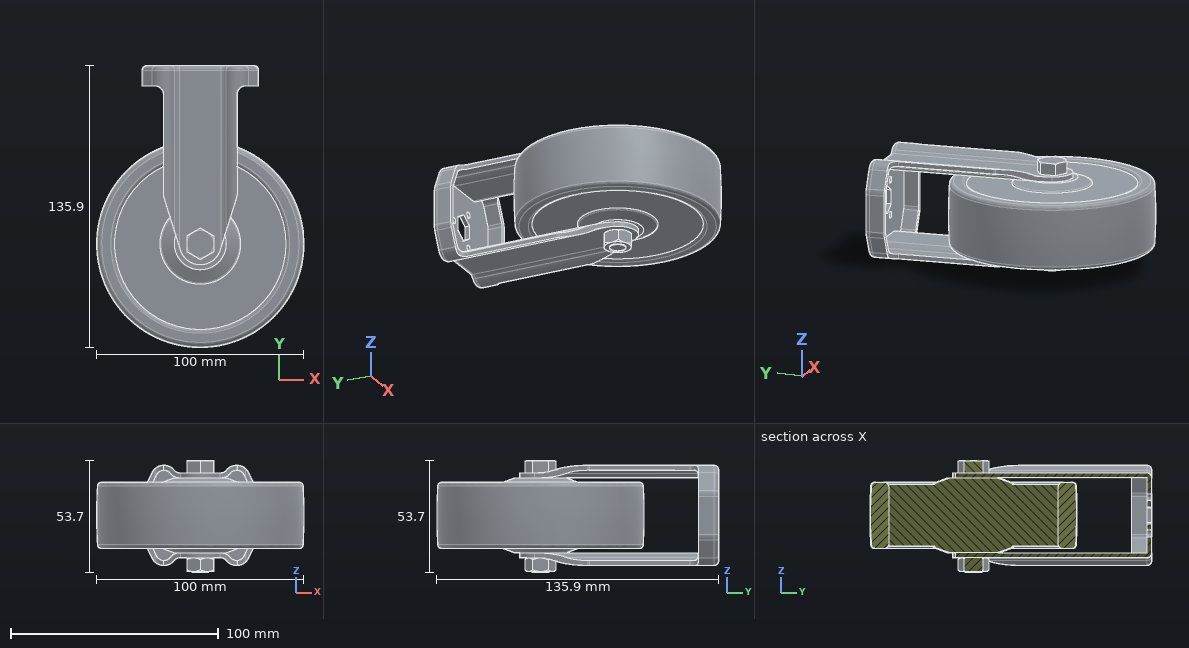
import cadquery as cq
import math


wheel_radius = 50.0
tyre_width = 32.1
crown_height = 0.5
tyre_edge_radius = 2.0
tyre_bore_radius = 41.0

core_recess = 1.1
hub_radius = 19.5
hub_face_radius = 12.5
hub_cone_rise = 2.6
hub_edge_radius = 0.8

sheet = 2.5
arm_face_height = 20.5
arm_tip_radius = 10.0
arm_half_width = 17.8
taper_start = 23.2
taper_corner_radius = 3.0
plate_back = 85.9
flange_depth = 9.9
flange_corner_radius = 4.0
plate_half_width = 28.1
ridge_height = 24.2
ridge_center_x = 17.5
bend_radius = 6.4
side_tilt = math.radians(26)

hex_opening_width = 12.0
screw_hole_diameter = 3.0
screw_hole_circle_radius = 10.0
screw_hole_count = 3

shank_diameter = 8.0
hex_width = 13.0
head_height = 5.8
head_chamfer = 0.3
nut_height = 6.5
nut_chamfer = 0.8
bolt_protrusion = 0.4

half_tyre = tyre_width / 2
half_disc = half_tyre - core_recess
hub_half_length = arm_face_height - sheet
flange_start = plate_back - flange_depth


def polar(center, radius, angle):
    """Point on a circle about a center in the plane."""
    return center[0] + radius * math.cos(angle), center[1] + radius * math.sin(angle)


def hexagon_diameter(width):
    """Corner-to-corner diameter of a hexagon with the given width across flats."""
    return width / math.cos(math.pi / 6)


def make_tyre():
    edge_radius = wheel_radius - crown_height
    tyre = (
        cq.Workplane("XZ")
        .moveTo(tyre_bore_radius, -half_tyre)
        .lineTo(edge_radius, -half_tyre)
        .threePointArc((wheel_radius, 0), (edge_radius, half_tyre))
        .lineTo(tyre_bore_radius, half_tyre)
        .close()
        .revolve(360, (0, 0), (0, 1))
    )
    return tyre.edges("%CIRCLE").fillet(tyre_edge_radius)


def make_hub():
    shoulder = hub_half_length - hub_cone_rise
    hub = (
        cq.Workplane("XZ")
        .polyline([
            (0, -hub_half_length),
            (hub_face_radius, -hub_half_length),
            (hub_radius, -shoulder),
            (hub_radius, shoulder),
            (hub_face_radius, hub_half_length),
            (0, hub_half_length),
        ])
        .close()
        .revolve(360, (0, 0), (0, 1))
    )
    return hub.edges(cq.selectors.RadiusNthSelector(-1)).fillet(hub_edge_radius)


def make_core(tyre):
    """Disc with its hub; the rim follows the rounded bore of the tyre."""
    disc = (
        cq.Workplane("XY")
        .circle(tyre_bore_radius + tyre_edge_radius)
        .extrude(half_disc, both=True)
        .cut(tyre)
    )
    return disc.union(make_hub()).cut(make_shank_space())


def fork_section():
    """Closed outer outline of the fork in the XZ plane: a quarter, mirrored twice."""
    bend_run = ridge_center_x - arm_tip_radius
    bend_rise = ridge_height - arm_face_height
    bend_angle = 2 * math.atan(bend_rise / bend_run)
    valley_radius = bend_run / math.sin(bend_angle) - bend_radius

    valley_center = (arm_tip_radius, arm_face_height + valley_radius)
    ridge_center = (ridge_center_x, ridge_height - bend_radius)
    ridge_start_angle = math.pi / 2 + bend_angle
    ridge_end = polar(ridge_center, bend_radius, side_tilt)

    corner_height = ridge_end[1] - (plate_half_width - ridge_end[0]) / math.tan(side_tilt)
    corner_center = (
        plate_half_width - bend_radius,
        corner_height - bend_radius * math.tan(side_tilt / 2),
    )

    return (
        cq.Workplane("XZ")
        .moveTo(0, arm_face_height)
        .lineTo(arm_tip_radius, arm_face_height)
        .threePointArc(
            polar(valley_center, valley_radius, (bend_angle - math.pi) / 2),
            polar(ridge_center, bend_radius, ridge_start_angle),
        )
        .threePointArc(polar(ridge_center, bend_radius, math.pi / 2), ridge_end)
        .lineTo(*polar(corner_center, bend_radius, side_tilt))
        .threePointArc(
            polar(corner_center, bend_radius, side_tilt / 2),
            (plate_half_width, corner_center[1]),
        )
        .lineTo(plate_half_width, 0)
        .mirrorX()
        .mirrorY()
    )


def fork_silhouette():
    """Prism along Z with the outline of the arms and the flange."""
    distance = math.hypot(arm_half_width, taper_start)
    tangent_angle = math.atan2(taper_start, arm_half_width) - math.acos(arm_tip_radius / distance)
    tip_x, tip_y = polar((0, 0), arm_tip_radius, tangent_angle)

    silhouette = (
        cq.Workplane("XY")
        .moveTo(tip_x, tip_y)
        .lineTo(arm_half_width, taper_start)
        .lineTo(arm_half_width, flange_start)
        .lineTo(plate_half_width, flange_start)
        .lineTo(plate_half_width, plate_back)
        .lineTo(-plate_half_width, plate_back)
        .lineTo(-plate_half_width, flange_start)
        .lineTo(-arm_half_width, flange_start)
        .lineTo(-arm_half_width, taper_start)
        .lineTo(-tip_x, tip_y)
        .threePointArc((0, -arm_tip_radius), (tip_x, tip_y))
        .close()
        .extrude(ridge_height, both=True)
    )

    def corner_edges(y):
        box_corner = arm_half_width + sheet
        return cq.selectors.BoxSelector(
            (-box_corner, y - sheet, -ridge_height), (box_corner, y + sheet, ridge_height)
        )

    silhouette = silhouette.edges("|Z").edges(corner_edges(flange_start)).fillet(flange_corner_radius)
    return silhouette.edges("|Z").edges(corner_edges(taper_start)).fillet(taper_corner_radius)


def plate_openings():
    """Hexagonal opening and the screw holes around it, along Y through the plate."""
    plane = cq.Workplane("XZ", origin=(0, plate_back, 0))
    opening = (
        plane.transformed(rotate=(0, 0, 90))
        .polygon(6, hexagon_diameter(hex_opening_width))
        .extrude(flange_depth)
    )
    screw_holes = (
        plane.polarArray(screw_hole_circle_radius, 180, 360, screw_hole_count)
        .circle(screw_hole_diameter / 2)
        .extrude(flange_depth)
    )
    return opening.union(screw_holes)


def make_fork():
    front = -arm_tip_radius
    shell = fork_section().extrude(front - plate_back).translate((0, front, 0))
    shell = shell.faces(">Y").edges().fillet(sheet)
    inside = fork_section().offset2D(-sheet).extrude(front - plate_back + sheet).translate((0, front, 0))
    fork = shell.cut(inside).intersect(fork_silhouette())
    return fork.cut(plate_openings()).cut(make_shank_space())


def make_shank_space():
    """Cylinder along the axle, longer than every bore it cuts."""
    return cq.Workplane("XY").circle(shank_diameter / 2).extrude(plate_back, both=True)


def hex_block(height, chamfer, both_ends):
    """Hexagonal prism standing on Z = 0, corners at +-Y, chamfered conically on its top or both ends."""
    diameter = hexagon_diameter(hex_width)
    block = (
        cq.Workplane("XY")
        .transformed(rotate=(0, 0, 90))
        .polygon(6, diameter)
        .extrude(height)
    )
    envelope = cq.Workplane("XY").circle(diameter / 2).extrude(height)
    rims = envelope.edges("%CIRCLE") if both_ends else envelope.faces(">Z").edges()
    corner_cut = (diameter - hex_width) / 2
    return block.intersect(rims.chamfer(chamfer, corner_cut))


def make_bolt():
    head = hex_block(head_height, head_chamfer, both_ends=False).translate((0, 0, arm_face_height))
    shank_length = 2 * arm_face_height + nut_height + bolt_protrusion
    shank = (
        cq.Workplane("XY", origin=(0, 0, arm_face_height))
        .circle(shank_diameter / 2)
        .extrude(-shank_length)
    )
    return head.union(shank)


def make_nut():
    nut = hex_block(nut_height, nut_chamfer, both_ends=True)
    return nut.translate((0, 0, -arm_face_height - nut_height)).cut(make_shank_space())


tyre = make_tyre()
core = make_core(tyre)
fork = make_fork()
bolt = make_bolt()
nut = make_nut()

result = cq.Compound.makeCompound([tyre.val(), core.val(), fork.val(), bolt.val(), nut.val()])